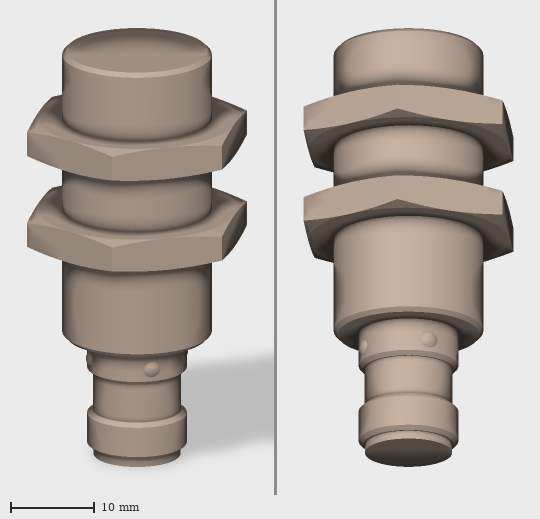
import cadquery as cq
import math

total_length = 51.0
barrel_diameter = 18.0
barrel_chamfer = 0.5
barrel_bottom_z = 15.0

plug_diameter = 12.0
neck_diameter = 10.6
tip_diameter = 10.5
plug_chamfer = 0.5
tip_length = 1.0
ring_top_z = 5.7
collar_bottom_z = 10.5

dome_count = 4
dome_base_diameter = 2.0
dome_tip_radius = 6.35
dome_height = 0.4
dome_z = 12.5

nut_across_flats = 24.0
nut_sides = 6
nut_thickness = 4.0
half_side_angle = 180 / nut_sides
nut_corner_diameter = nut_across_flats / math.cos(math.radians(half_side_angle))
nut_chamfer_angle = 15.0
nut_bottom_levels = (27.0, 38.5)


def make_sensor_profile():
    """Half section of the turned sensor: local x is the radius, local y is the height."""
    barrel_radius = barrel_diameter / 2
    barrel_end_radius = barrel_radius - barrel_chamfer
    plug_radius = plug_diameter / 2
    neck_radius = neck_diameter / 2
    tip_radius = tip_diameter / 2
    shoulder_radius = plug_radius - plug_chamfer
    return [
        (0, 0),
        (tip_radius, 0),
        (tip_radius, tip_length),
        (shoulder_radius, tip_length),
        (plug_radius, tip_length + plug_chamfer),
        (plug_radius, ring_top_z - plug_chamfer),
        (shoulder_radius, ring_top_z),
        (neck_radius, ring_top_z),
        (neck_radius, collar_bottom_z),
        (shoulder_radius, collar_bottom_z),
        (plug_radius, collar_bottom_z + plug_chamfer),
        (plug_radius, barrel_bottom_z),
        (barrel_end_radius, barrel_bottom_z),
        (barrel_radius, barrel_bottom_z + barrel_chamfer),
        (barrel_radius, total_length - barrel_chamfer),
        (barrel_end_radius, total_length),
        (0, total_length),
    ]


def make_dome(angle):
    """Ball with its poles along a radius, its outer cap proud of the collar at this angle about Z."""
    base_radius = dome_base_diameter / 2
    ball_radius = (base_radius**2 + dome_height**2) / (2 * dome_height)
    return (
        cq.Workplane("XY")
        .sphere(ball_radius)
        .rotate((0, 0, 0), (0, 1, 0), 90)
        .translate((dome_tip_radius - ball_radius, 0, dome_z))
        .rotate((0, 0, 0), (0, 0, 1), angle)
    )


def make_sensor():
    """Barrel, plug and indicator domes as one solid."""
    sensor = cq.Workplane("XZ").polyline(make_sensor_profile()).close().revolve(360, (0, 0), (0, 1))
    for index in range(dome_count):
        sensor = sensor.union(make_dome(index * 360 / dome_count))
    return sensor


def make_nut(bottom_z):
    """Hexagonal nut with flats on +X and -X, its corners chamfered on both faces."""
    face_radius = nut_across_flats / 2
    corner_radius = nut_corner_diameter / 2
    corner_drop = (corner_radius - face_radius) * math.tan(math.radians(nut_chamfer_angle))
    hexagon = (
        cq.Workplane("XY")
        .polygon(nut_sides, nut_corner_diameter)
        .extrude(nut_thickness)
        .rotate((0, 0, 0), (0, 0, 1), half_side_angle)
    )
    chamfer_envelope = (
        cq.Workplane("XZ")
        .polyline([
            (0, 0),
            (face_radius, 0),
            (corner_radius, corner_drop),
            (corner_radius, nut_thickness - corner_drop),
            (face_radius, nut_thickness),
            (0, nut_thickness),
        ])
        .close()
        .revolve(360, (0, 0), (0, 1))
    )
    bore = cq.Workplane("XY").circle(barrel_diameter / 2).extrude(nut_thickness)
    return hexagon.intersect(chamfer_envelope).cut(bore).translate((0, 0, bottom_z))


sensor = make_sensor()
nuts = [make_nut(bottom_z) for bottom_z in nut_bottom_levels]

result = cq.Compound.makeCompound([sensor.val(), *[nut.val() for nut in nuts]])